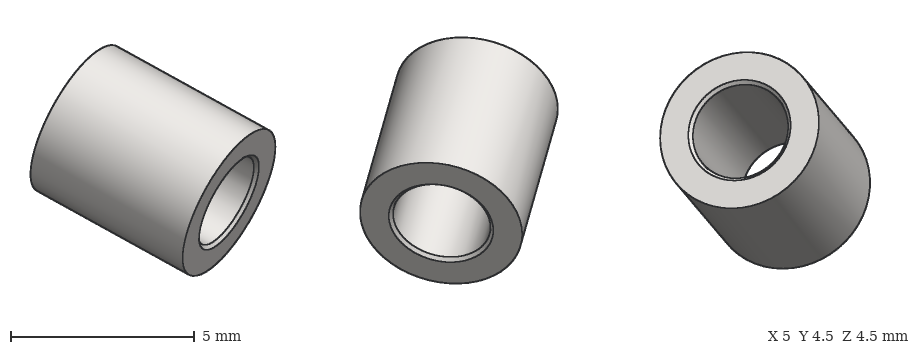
import cadquery as cq

length = 5.0
outer_diameter = 4.5
bore_diameter = 2.7
bore_chamfer = 0.1

sleeve = (
    cq.Workplane("YZ", origin=(-length / 2, 0, 0))
    .circle(outer_diameter / 2)
    .circle(bore_diameter / 2)
    .extrude(length)
)

bore_rims = sleeve.faces("<X or >X").edges(cq.selectors.RadiusNthSelector(0))
result = bore_rims.chamfer(bore_chamfer)